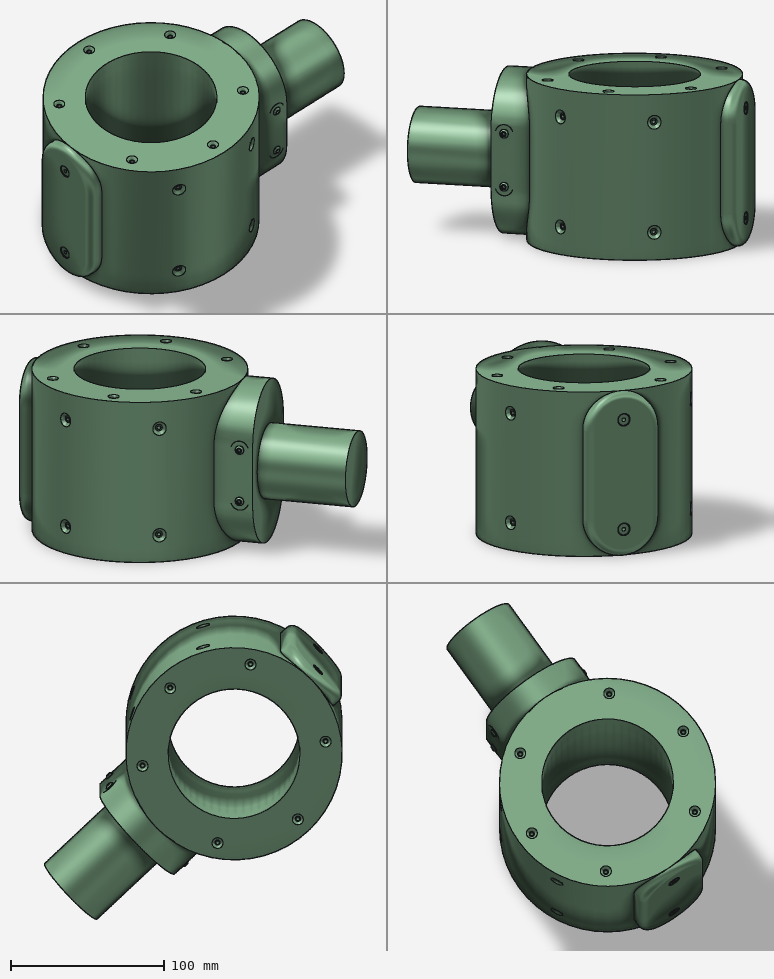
import cadquery as cq
import math

height = 110.0
ring_diameter = 141.0
bore_diameter = 86.0
total_length = 223.2

tube_diameter = 50.0
tube_end_y = 147.3
collar_width = 71.0
collar_end_y = 87.3

pad_width = tube_diameter
pad_face_y = tube_end_y - total_length
pad_edge_radius = 5.0

hole_angle = 54.0
bolt_circle_diameter = 120.5
screw_offset = 36.5
face_sink_diameter = 7.1
side_sink_diameter = 9.2
side_sink_floor_diameter = 4.5
face_sink_floor_diameter = 3.3
pad_sink_diameter = 8.5
pad_sink_floor_diameter = 7.5
socket_diameter = 2.5

head_y = 78.4
head_offset = 17.6
head_diameter = 5.8
head_top_diameter = 3.3
head_rise = 1.3
head_rim = 0.2
seat_radius = 6.0
seat_depth = 4.5


def upright_slot(width, start_y, end_y):
    """Full-height bar with round top and bottom, running along Y from start_y to end_y."""
    plane = cq.Workplane("XZ", origin=(0, start_y, 0))
    return plane.slot2D(height, width, 90).extrude(start_y - end_y)


def placed(body, point, outward):
    """Move a body built about +Z at the origin so that +Z points outward at the given point."""
    plane = cq.Plane(origin=point, normal=outward)
    return body.val().located(cq.Location(plane))


def sunk_hole(mouth_diameter, floor_diameter):
    """Cutter for a 90 degree countersink with a flat floor and a small 90 degree cone in its middle."""
    mouth = mouth_diameter / 2
    floor = floor_diameter / 2
    socket = socket_diameter / 2
    floor_depth = mouth - floor
    profile = [
        (0, 0),
        (mouth, 0),
        (floor, -floor_depth),
        (socket, -floor_depth),
        (0, -floor_depth - socket),
    ]
    return cq.Workplane("XZ").polyline(profile).close().revolve(360, (0, 0), (0, 1))


def raised_head():
    """Sloped screw head with a round socket, standing on the XY plane."""
    edge = (head_diameter - head_top_diameter) / 2
    head = cq.Workplane("XY").circle(head_diameter / 2).extrude(head_rise)
    head = head.faces(">Z").edges().chamfer(head_rise - head_rim, edge)
    return head.faces(">Z").workplane().hole(socket_diameter, head_rise)


tube = cq.Workplane("XZ").circle(tube_diameter / 2).extrude(-tube_end_y)
pad = upright_slot(pad_width, 0, pad_face_y).faces("<Y").edges().fillet(pad_edge_radius)
ring = cq.Workplane("XY").circle(ring_diameter / 2).extrude(height / 2, both=True)
body = ring.union(upright_slot(collar_width, 0, collar_end_y)).union(tube).union(pad)

seat = cq.Workplane("XY").circle(seat_radius).extrude(-seat_depth)
for side in (-1, 1):
    for level in (-head_offset, head_offset):
        point = (side * collar_width / 2, head_y, level)
        outward = (side, 0, 0)
        body = body.union(placed(seat, point, outward))
        body = body.union(placed(raised_head(), point, outward))

body = body.cut(cq.Workplane("XY").circle(bore_diameter / 2).extrude(height, both=True))

face_hole = sunk_hole(face_sink_diameter, face_sink_floor_diameter)
side_hole = sunk_hole(side_sink_diameter, side_sink_floor_diameter)
for middle in (0, 180):
    for step in (-1, 0, 1):
        angle = math.radians(middle + step * hole_angle)
        x = bolt_circle_diameter / 2 * math.cos(angle)
        y = bolt_circle_diameter / 2 * math.sin(angle)
        for end in (-1, 1):
            body = body.cut(placed(face_hole, (x, y, end * height / 2), (0, 0, end)))
    for step in (-0.5, 0.5):
        angle = math.radians(middle + step * hole_angle)
        outward = (math.cos(angle), math.sin(angle), 0)
        x = ring_diameter / 2 * outward[0]
        y = ring_diameter / 2 * outward[1]
        for level in (-screw_offset, screw_offset):
            body = body.cut(placed(side_hole, (x, y, level), outward))

pad_hole = sunk_hole(pad_sink_diameter, pad_sink_floor_diameter)
for level in (-screw_offset, screw_offset):
    body = body.cut(placed(pad_hole, (0, pad_face_y, level), (0, -1, 0)))

result = body